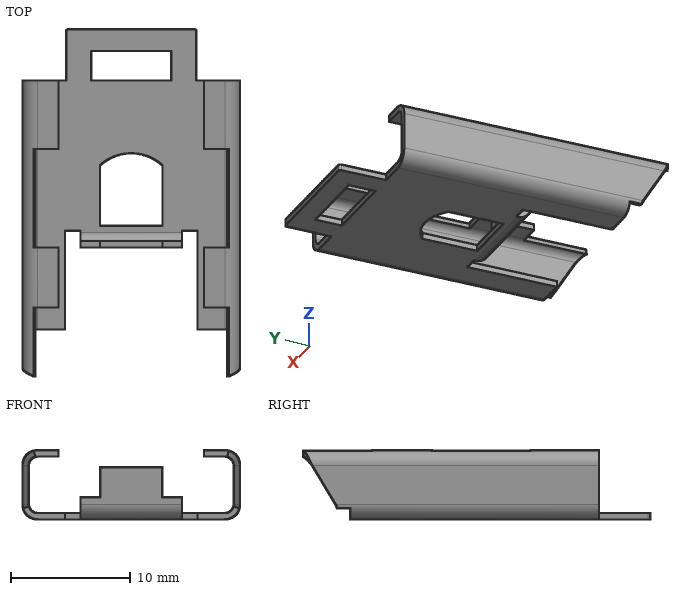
import cadquery as cq
import math

sheet = 0.55
bend_inner = 0.72
bend_outer = bend_inner + sheet
neutral_fraction = 0.4
bend_neutral = bend_inner + neutral_fraction * sheet

width = 18.23
height = 5.81
overall_length = 29.08
half_width = width / 2
bend_x = half_width - bend_outer
low_bend_z = bend_outer
high_bend_z = height - bend_outer
floor_length = 20.85

leg_inner_x = 5.53
notch_start = 12.6

tongue_width = 10.92
tongue_length = 4.3
tongue_corner = 0.2
window_width = 6.67
window_depth = 2.45

hole_width = 5.2
hole_front = 12.15
hole_spring = 7.1
hole_crown = 6.1

stop_face = 14.0
stop_base_width = 8.5
stop_base_top = 1.88
stop_width = hole_width
stop_top = 4.38

lip_angle = 75.0
skirt_angle = 15.0
slant = 0.6
lip_tip = overall_length - tongue_length
wall_top_length = lip_tip - slant * bend_neutral * math.radians(lip_angle)
wall_base_length = wall_top_length - slant * (high_bend_z - low_bend_z)
skirt_length = wall_base_length - slant * bend_neutral * math.radians(skirt_angle)

tab_spans = [(0.0, 5.75), (14.0, 19.0)]
tab_inner_x = 6.07


def block(x_start, x_end, y_start, y_end, z_start, z_end):
    """Axis-aligned box; y runs forward from the back edge."""
    box = cq.Workplane("XY").box(x_end - x_start, y_end - y_start, z_end - z_start, centered=False)
    return box.translate((x_start, -y_end, z_start))


def ring_sector(plane, inner, outer, start, end):
    """Closed outline of an annular sector about the plane's origin, angles in degrees."""
    def point(radius, angle):
        return radius * math.cos(math.radians(angle)), radius * math.sin(math.radians(angle))

    middle = (start + end) / 2
    return (
        plane.moveTo(*point(inner, start))
        .lineTo(*point(outer, start))
        .threePointArc(point(outer, middle), point(outer, end))
        .lineTo(*point(inner, end))
        .threePointArc(point(inner, middle), point(inner, start))
        .close()
    )


def side_plane(y_start, bend_z):
    """Plane facing -Y with its origin on a bend axis of the right-hand side."""
    return cq.Workplane("XZ", origin=(bend_x, -y_start, bend_z))


def side_bend(bend_z, start, end, y_start, y_end):
    sector = ring_sector(side_plane(y_start, bend_z), bend_inner, bend_outer, start, end)
    return sector.extrude(y_end - y_start)


def slant_cutter(bend_z, start, end, y_start, y_end):
    """Helical wedge that carries the slanted wall end around a bend."""
    wedge_angle = 90
    margin = 0.3
    sector = ring_sector(
        side_plane(y_start, bend_z), bend_inner - margin, bend_outer + margin, start - wedge_angle, start
    )
    return sector.twistExtrude(y_end - y_start, end - start)


def make_floor():
    floor = block(-bend_x, bend_x, 0, floor_length, 0, sheet)
    floor = floor.cut(block(-leg_inner_x, leg_inner_x, notch_start, floor_length, 0, sheet))

    tongue = block(-tongue_width / 2, tongue_width / 2, -tongue_length, 0, 0, sheet)
    tongue = tongue.edges("|Z and >Y").fillet(tongue_corner)
    window = block(-window_width / 2, window_width / 2, -window_depth, 0, 0, sheet)

    hole = (
        cq.Workplane("XY")
        .moveTo(-hole_width / 2, -hole_front)
        .lineTo(hole_width / 2, -hole_front)
        .lineTo(hole_width / 2, -hole_spring)
        .threePointArc((0, -hole_crown), (-hole_width / 2, -hole_spring))
        .close()
        .extrude(sheet)
    )
    return floor.union(tongue.cut(window)).cut(hole)


def make_stop():
    bend_start = stop_face - bend_outer
    stop_back = stop_face - sheet
    half_base = stop_base_width / 2
    neck = block(-half_base, half_base, notch_start, bend_start, 0, sheet)
    bend_plane = cq.Workplane("YZ", origin=(-half_base, -bend_start, bend_outer))
    bend = ring_sector(bend_plane, bend_inner, bend_outer, 180, 270).extrude(stop_base_width)
    base = block(-half_base, half_base, stop_back, stop_face, bend_outer, stop_base_top)
    plate = block(-stop_width / 2, stop_width / 2, stop_back, stop_face, stop_base_top, stop_top)
    return neck.union(bend).union(base).union(plate)


def make_wall():
    outline = [
        (0, low_bend_z),
        (-wall_base_length, low_bend_z),
        (-wall_top_length, high_bend_z),
        (0, high_bend_z),
    ]
    return cq.Workplane("YZ", origin=(half_width - sheet, 0, 0)).polyline(outline).close().extrude(sheet)


def make_side():
    """Right-hand wall with its bends, lip and retaining tabs."""
    lip = side_bend(high_bend_z, 0, lip_angle, 0, lip_tip)
    lip = lip.cut(slant_cutter(high_bend_z, 0, lip_angle, wall_top_length, lip_tip))

    skirt = side_bend(low_bend_z, -skirt_angle, 0, 0, wall_base_length)
    skirt = skirt.cut(slant_cutter(low_bend_z, -skirt_angle, 0, skirt_length, wall_base_length))

    lower_bend = side_bend(low_bend_z, -90, -skirt_angle, 0, floor_length)
    side = make_wall().union(lip).union(skirt).union(lower_bend)
    for start, end in tab_spans:
        side = side.union(side_bend(high_bend_z, lip_angle, 90, start, end))
        side = side.union(block(tab_inner_x, bend_x, start, end, height - sheet, height))
    return side


right_side = make_side()
left_side = right_side.mirror("YZ")
result = make_floor().union(make_stop()).union(right_side).union(left_side)